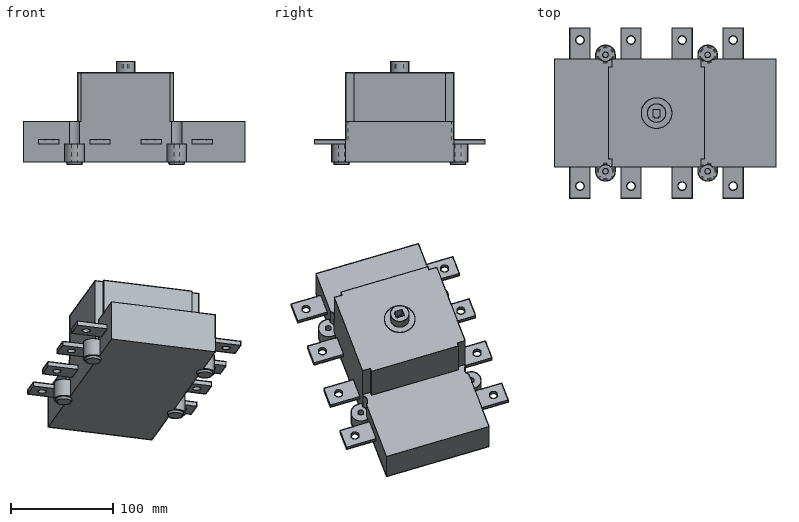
import cadquery as cq

body_left = -100.0
body_right = 117.0
body_depth = 106.0
body_height = 40.0

tower_width = 94.0
tower_top = 87.5
corner_notch_x = 3.5
corner_notch_y = 8.0

shaft_diameter = 18.0
shaft_top = 98.5
recess_diameter = 30.0
recess_depth = 0.4
socket_width = 7.2
socket_depth = shaft_top - tower_top
key_reach = 4.7
key_width = 4.2

terminal_pitch = 50.0
terminal_count = 4
terminal_width = 20.0
terminal_thickness = 4.5
terminal_bottom = 17.5
terminal_length = 167.0
terminal_hole_diameter = 8.0
terminal_hole_inset = 12.0

boss_x = 50.0
boss_y = 57.0
boss_diameter = 19.2
boss_height = 17.5
boss_hole_diameter = 5.5
groove_diameter = 13.0
foot_top_diameter = 16.0
foot_height = 2.5
foot_bottom_diameter = 14.2


def block(x_min, x_max, depth, z_min, z_max):
    """Box centred on Y = 0 between the given X and Z limits."""
    return (
        cq.Workplane("XY", origin=((x_min + x_max) / 2, 0, z_min))
        .box(x_max - x_min, depth, z_max - z_min, centered=(True, True, False))
    )


def cylinder(x, y, diameter, z_min, z_max):
    """Upright cylinder at (x, y) between two heights."""
    return cq.Workplane("XY", origin=(x, y, z_min)).circle(diameter / 2).extrude(z_max - z_min)


def make_tower():
    half_width = tower_width / 2
    tower = block(-half_width, half_width, body_depth, 0, tower_top)
    notches = (
        cq.Workplane("XY", origin=(0, 0, body_height))
        .rect(tower_width, body_depth, forConstruction=True)
        .vertices()
        .rect(2 * corner_notch_x, 2 * corner_notch_y)
        .extrude(tower_top - body_height)
    )
    recess = cylinder(0, 0, recess_diameter, tower_top - recess_depth, tower_top)
    return tower.cut(notches).cut(recess)


def make_shaft():
    shaft = cylinder(0, 0, shaft_diameter, tower_top - recess_depth, shaft_top)
    socket_plane = cq.Workplane("XY", origin=(0, 0, shaft_top))
    socket = socket_plane.rect(socket_width, socket_width).extrude(-socket_depth)
    key = socket_plane.center(0, -key_reach / 2).rect(key_width, key_reach).extrude(-socket_depth)
    return shaft.cut(socket).cut(key)


def make_terminal(x):
    half_width = terminal_width / 2
    terminal_top = terminal_bottom + terminal_thickness
    bar = block(x - half_width, x + half_width, terminal_length, terminal_bottom, terminal_top)
    hole_y = terminal_length / 2 - terminal_hole_inset
    for y in (-hole_y, hole_y):
        bar = bar.cut(cylinder(x, y, terminal_hole_diameter, terminal_bottom, terminal_top))
    return bar


def make_boss(x, side):
    """Round-ended boss on the front (side = -1) or back (side = 1) wall, with its foot."""
    y = side * boss_y
    boss = cylinder(x, y, boss_diameter, 0, boss_height)
    neck_length = boss_y - body_depth / 2
    neck = (
        cq.Workplane("XY", origin=(x, y - side * neck_length / 2, 0))
        .rect(boss_diameter, neck_length)
        .extrude(boss_height)
    )
    foot = (
        cq.Workplane("XY", origin=(x, y, 0))
        .circle(foot_top_diameter / 2)
        .workplane(offset=-foot_height)
        .circle(foot_bottom_diameter / 2)
        .loft(ruled=True)
    )
    return boss.union(neck).union(foot)


boss_places = [(x, side) for x in (-boss_x, boss_x) for side in (-1, 1)]

result = block(body_left, body_right, body_depth, 0, body_height).union(make_tower()).union(make_shaft())

for x, side in boss_places:
    result = result.cut(cylinder(x, side * boss_y, groove_diameter, boss_height, body_height))
    result = result.union(make_boss(x, side))
    result = result.cut(cylinder(x, side * boss_y, boss_hole_diameter, 0, boss_height))

for index in range(terminal_count):
    result = result.union(make_terminal((index - (terminal_count - 1) / 2) * terminal_pitch))